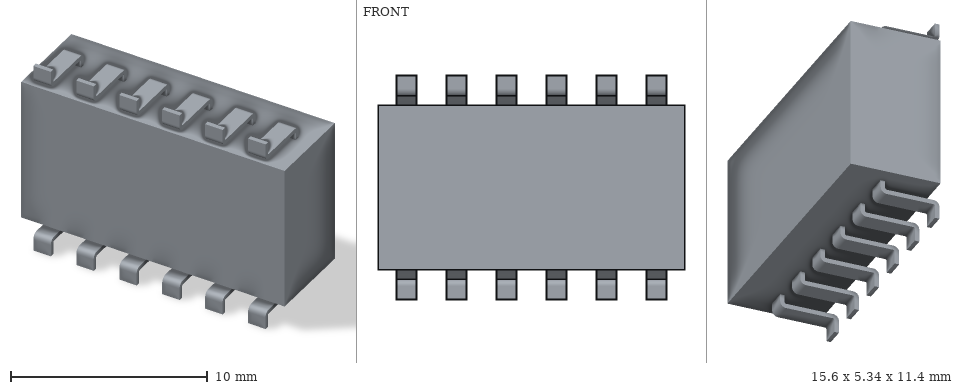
import cadquery as cq

body_length = 15.6
body_depth = 4.99
overall_height = 11.4

leads_per_row = 6
lead_pitch = 2.55
lead_width = 1.03
lead_thickness = 0.25
inner_bend_radius = 0.08
lead_back_inset = 2.07
foot_overhang = 0.35
lead_rise = 0.73
lead_reach = 1.51

body_height = overall_height - 2 * lead_reach
outer_bend_radius = inner_bend_radius + lead_thickness


def make_lead():
    """One top lead, centred on X = 0: up, forward along the body, then up to the foot."""
    seat = body_height / 2
    run_top = seat + lead_rise
    run_bottom = run_top - lead_thickness
    tip = seat + lead_reach
    back = body_depth - lead_back_inset
    front = -foot_overhang
    strip = (
        cq.Workplane("YZ")
        .moveTo(back, seat)
        .lineTo(back, run_top)
        .lineTo(front + lead_thickness, run_top)
        .lineTo(front + lead_thickness, tip)
        .lineTo(front, tip)
        .lineTo(front, run_bottom)
        .lineTo(back - lead_thickness, run_bottom)
        .lineTo(back - lead_thickness, seat)
        .close()
        .extrude(lead_width / 2, both=True)
    )

    def bend_edge(y, z):
        return cq.selectors.NearestToPointSelector((0, y, z))

    strip = strip.edges(bend_edge(back, run_top)).fillet(outer_bend_radius)
    strip = strip.edges(bend_edge(front, run_bottom)).fillet(outer_bend_radius)
    strip = strip.edges(bend_edge(back - lead_thickness, run_bottom)).fillet(inner_bend_radius)
    return strip.edges(bend_edge(front + lead_thickness, run_top)).fillet(inner_bend_radius)


result = cq.Workplane("XY").box(body_length, body_depth, body_height).translate((0, body_depth / 2, 0))

top_lead = make_lead()
bottom_lead = top_lead.mirror("XY")
for index in range(leads_per_row):
    lead_x = (index - (leads_per_row - 1) / 2) * lead_pitch
    for lead in (top_lead, bottom_lead):
        result = result.union(lead.translate((lead_x, 0, 0)))